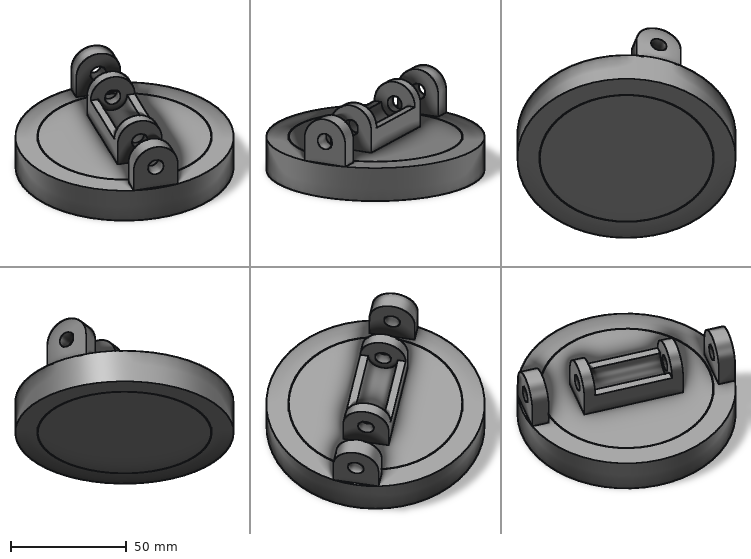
import cadquery as cq
import math

ring_diameter = 94.6
ring_bore_diameter = 75.6
disc_diameter = 75.0
base_height = 15.0

lug_width = 20.0
lug_radius = lug_width / 2
axis_height = base_height + lug_radius
lug_hole_diameter = 7.0

ring_lug_thickness = 7.5
ring_lug_outer_x = math.sqrt((ring_diameter / 2) ** 2 - lug_radius**2)

bracket_length = 45.0
bracket_lug_thickness = 5.0
trough_radius = 6.5
trough_length = bracket_length - 2 * bracket_lug_thickness


def lug(start_x, thickness):
    """Round-topped lug standing on the base, from start_x towards +X."""
    return (
        cq.Workplane("YZ", origin=(start_x, 0, base_height))
        .moveTo(-lug_radius, 0)
        .lineTo(lug_radius, 0)
        .lineTo(lug_radius, lug_radius)
        .threePointArc((0, 2 * lug_radius), (-lug_radius, lug_radius))
        .close()
        .extrude(thickness)
    )


def x_cylinder(diameter, length):
    """Cylinder on the lug hole axis, centred on X = 0."""
    return (
        cq.Workplane("YZ", origin=(-length / 2, 0, axis_height))
        .circle(diameter / 2)
        .extrude(length)
    )


lug_holes = x_cylinder(lug_hole_diameter, ring_diameter)


def make_ring():
    """Outer ring carrying two opposite lugs."""
    ring = (
        cq.Workplane("XY")
        .circle(ring_diameter / 2)
        .circle(ring_bore_diameter / 2)
        .extrude(base_height)
    )
    for start_x in (-ring_lug_outer_x, ring_lug_outer_x - ring_lug_thickness):
        ring = ring.union(lug(start_x, ring_lug_thickness))
    return ring.cut(lug_holes)


def make_disc():
    """Inner disc carrying the troughed bracket."""
    disc = cq.Workplane("XY").circle(disc_diameter / 2).extrude(base_height)
    block = cq.Workplane("XY", origin=(0, 0, base_height)).box(
        bracket_length, lug_width, lug_radius, centered=(True, True, False)
    )
    disc = disc.union(block)
    for start_x in (-bracket_length / 2, bracket_length / 2 - bracket_lug_thickness):
        disc = disc.union(lug(start_x, bracket_lug_thickness))
    trough = x_cylinder(2 * trough_radius, trough_length)
    return disc.cut(trough).cut(lug_holes)


ring = make_ring()
disc = make_disc()

result = cq.Compound.makeCompound([ring.val(), disc.val()])